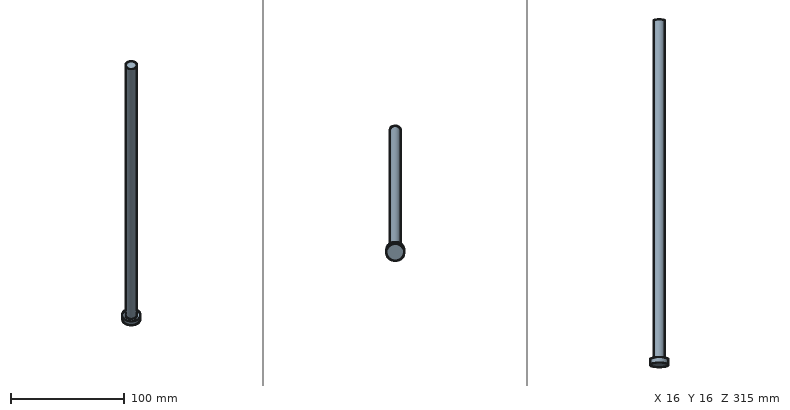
import cadquery as cq

total_length = 315.0
head_diameter = 16.0
head_height = 5.0
shaft_diameter = 10.0

head = cq.Workplane("XY").circle(head_diameter / 2).extrude(head_height)
shaft = cq.Workplane("XY").circle(shaft_diameter / 2).extrude(total_length)

result = head.union(shaft)